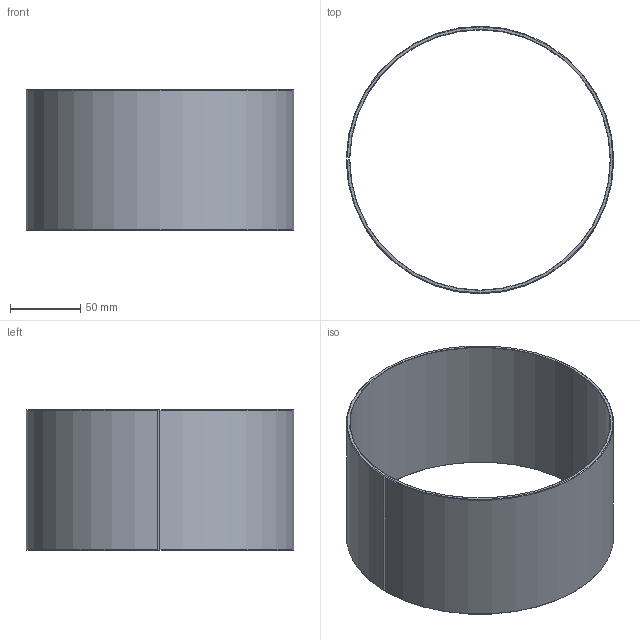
import cadquery as cq
import math

outer_diameter = 190.0
height = 100.0
wall_thickness = 2.5
outer_rim_chamfer = 0.5
inner_rim_chamfer = 0.2
split_angle = 1.0

outer_radius = outer_diameter / 2
inner_radius = outer_radius - wall_thickness


def make_blank():
    """Solid disc standing on Z = 0, with both outer rims chamfered."""
    disc = cq.Workplane("XY").circle(outer_radius).extrude(height)
    return disc.faces("<Z or >Z").edges().chamfer(outer_rim_chamfer)


def make_sleeve():
    """Thin-walled round sleeve, chamfered on the outer and inner rims at both ends."""
    bore = cq.Workplane("XY").circle(inner_radius).extrude(height)
    sleeve = make_blank().cut(bore)
    bore_rims = sleeve.edges(cq.selectors.RadiusNthSelector(0))
    return bore_rims.chamfer(inner_rim_chamfer)


def make_split():
    """Full-height wedge opening the -X wall, from the XZ plane towards +Y."""
    reach = outer_diameter
    opening = reach * math.tan(math.radians(split_angle))
    wedge = cq.Workplane("XY").polyline([(0, 0), (-reach, 0), (-reach, opening)]).close()
    return wedge.extrude(height)


result = make_sleeve().cut(make_split())